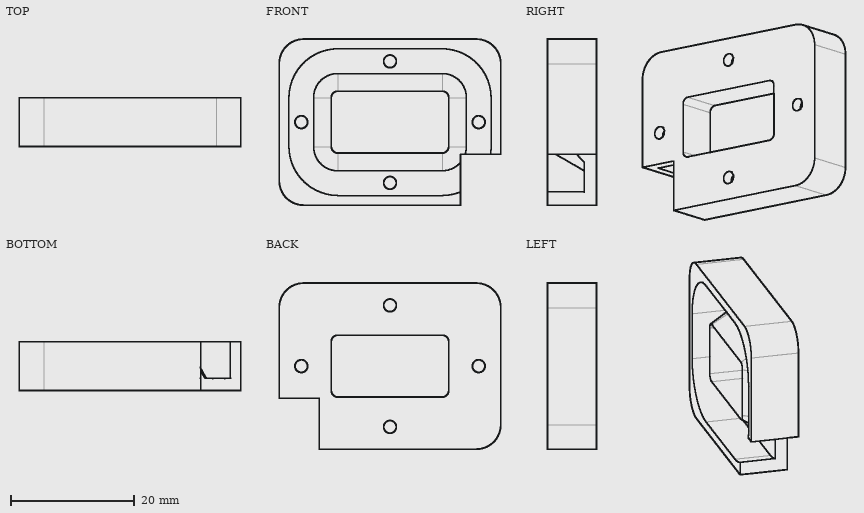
import cadquery as cq
import math

LENGTH = 36.0
DEPTH = 8.0
HEIGHT = 27.0
CORNER_RADIUS = 4.0

WALL = 1.6
FLOOR = 2.0
POCKET_RADIUS = 8.0

WINDOW_LENGTH = 19.0
WINDOW_HEIGHT = 10.0
WINDOW_RADIUS = 1.0
COLLAR_HEIGHT = 5.0
COLLAR_TAPER = 30.0
COLLAR_FLARE = COLLAR_HEIGHT * math.tan(math.radians(COLLAR_TAPER))

HOLE_DIAMETER = 2.0
HOLE_X = 14.4
HOLE_Z = 9.85

NOTCH_LEFT = 11.5
NOTCH_TOP = -5.22

BACK_Y = DEPTH / 2
FLOOR_Y = BACK_Y - FLOOR


def plane_at(y):
    """XZ plane at the given y; extrusions from it grow toward -Y."""
    return cq.Workplane("XZ", origin=(0, y, 0))


def rounded_block(length, height, radius, start_y, depth):
    """Block with rounded corners, growing from start_y toward -Y."""
    block = plane_at(start_y).rect(length, height).extrude(depth)
    return block.edges("|Y").fillet(radius)


def collar():
    """Frustum on the floor whose narrow end matches the window outline."""
    base = cq.Sketch().rect(WINDOW_LENGTH + 2 * COLLAR_FLARE, WINDOW_HEIGHT + 2 * COLLAR_FLARE)
    base = base.vertices().fillet(WINDOW_RADIUS + COLLAR_FLARE)
    return plane_at(FLOOR_Y).placeSketch(base).extrude(COLLAR_HEIGHT, taper=COLLAR_TAPER)


def mounting_holes():
    centres = [(HOLE_X, 0), (-HOLE_X, 0), (0, HOLE_Z), (0, -HOLE_Z)]
    return plane_at(BACK_Y).pushPoints(centres).circle(HOLE_DIAMETER / 2).extrude(DEPTH)


def corner_notch():
    outline = plane_at(BACK_Y).moveTo(NOTCH_LEFT, NOTCH_TOP).lineTo(LENGTH / 2, NOTCH_TOP)
    outline = outline.lineTo(LENGTH / 2, -HEIGHT / 2).lineTo(NOTCH_LEFT, -HEIGHT / 2).close()
    return outline.extrude(DEPTH)


body = rounded_block(LENGTH, HEIGHT, CORNER_RADIUS, BACK_Y, DEPTH)
pocket = rounded_block(
    LENGTH - 2 * WALL, HEIGHT - 2 * WALL, POCKET_RADIUS, FLOOR_Y, DEPTH - FLOOR
)
window = rounded_block(WINDOW_LENGTH, WINDOW_HEIGHT, WINDOW_RADIUS, BACK_Y, DEPTH)

result = body.cut(pocket).union(collar()).cut(window)
result = result.cut(mounting_holes()).cut(corner_notch())